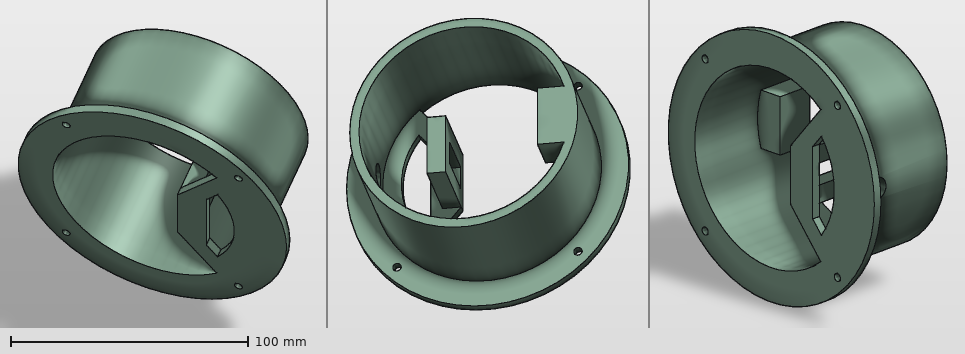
import cadquery as cq
import math

flange_diameter = 121.25
flange_thickness = 4.0
total_length = 56.0
bore_diameter = 90.0
tube_wall = 4.0
tube_diameter = bore_diameter + 2 * tube_wall
mid_wall_diameter = bore_diameter + tube_wall

screw_hole_diameter = 3.5
screw_circle_diameter = 110.0
screw_count = 4
first_screw_angle = 45

web_edge_x = 11.3
web_half_height = 13.2
web_slant_angle = math.radians(50)
web_slant_width = 8.0

window_edge_x = 24.4
window_arc_radius = 37.0

panel_thickness = 8.0
panel_length = 38.0
opening_length = 24.0
opening_height = 10.0
opening_start_y = 5.0

side_hole_diameter = 10.0
side_hole_y = 14.0

block_face_x = -31.65
block_start_y = panel_length


def disc(diameter, start_y, length):
    """Solid cylinder along +Y, starting at start_y."""
    plane = cq.Workplane("XZ", origin=(0, start_y, 0))
    return plane.circle(diameter / 2).extrude(-length)


def box_between(x_range, y_range, z_range):
    """Box spanning the given (low, high) ranges."""
    sizes = [high - low for low, high in (x_range, y_range, z_range)]
    corner = (x_range[0], y_range[0], z_range[0])
    return cq.Workplane("XY").box(*sizes, centered=False).translate(corner)


def flared_prism(edge_x, half_height, diameter):
    """Flange-thick prism whose slanted sides flare toward +X, trimmed to a disc."""
    far_x = flange_diameter / 2
    far_half_height = half_height + (far_x - edge_x) * math.tan(web_slant_angle)
    outline = [
        (edge_x, -half_height),
        (far_x, -far_half_height),
        (far_x, far_half_height),
        (edge_x, half_height),
    ]
    prism = cq.Workplane("XZ").polyline(outline).close().extrude(-flange_thickness)
    return prism.intersect(disc(diameter, 0, flange_thickness))


def make_ring():
    flange = disc(flange_diameter, 0, flange_thickness)
    tube = disc(tube_diameter, 0, total_length)
    ring = flange.union(tube).cut(disc(bore_diameter, 0, total_length))
    screw_holes = (
        cq.Workplane("XZ")
        .polarArray(screw_circle_diameter / 2, first_screw_angle, 360, screw_count)
        .circle(screw_hole_diameter / 2)
        .extrude(-flange_thickness)
    )
    return ring.cut(screw_holes)


def make_web():
    web = flared_prism(web_edge_x, web_half_height, mid_wall_diameter)
    window_half_height = (
        web_half_height
        + (window_edge_x - web_edge_x) * math.tan(web_slant_angle)
        - web_slant_width / math.cos(web_slant_angle)
    )
    return web.cut(flared_prism(window_edge_x, window_half_height, 2 * window_arc_radius))


def make_panel():
    x_range = (web_edge_x, web_edge_x + panel_thickness)
    panel = box_between(x_range, (0, panel_length), (-web_half_height, web_half_height))
    opening = box_between(
        x_range,
        (opening_start_y, opening_start_y + opening_length),
        (-opening_height / 2, opening_height / 2),
    )
    return panel.cut(opening)


def make_block():
    block = box_between(
        (-tube_diameter / 2, block_face_x),
        (block_start_y, total_length),
        (-web_half_height, web_half_height),
    )
    return block.intersect(disc(mid_wall_diameter, 0, total_length))


def make_side_hole():
    plane = cq.Workplane("YZ", origin=(0, side_hole_y, 0))
    return plane.circle(side_hole_diameter / 2).extrude(tube_diameter / 2)


ring = make_ring().cut(make_side_hole())
result = ring.union(make_web()).union(make_panel()).union(make_block())